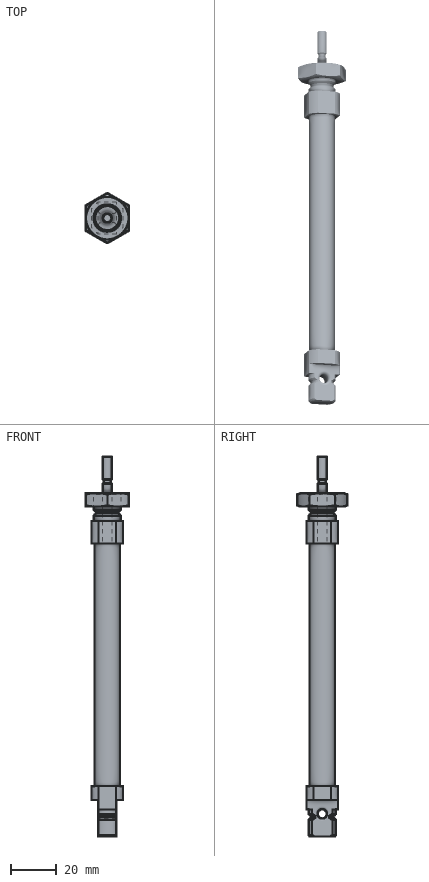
import cadquery as cq
import math

total_height = 166.0
tongue_top = 16.0
tail_top = 12.0
tube_bottom = 22.0
tube_top = 128.0
front_cap_top = 138.0
nose_top = 150.0

tube_diameter = 11.3
cap_width = 14.0
cap_corner_diameter = 16.0
thread_diameter = 12.0
thread_chamfer = 0.7
tongue_thickness = 8.0
pivot_hole_diameter = 4.0
pivot_mouth_radius = 1.2
pivot_height = 10.0

rear_groove_bottom = 7.3
rear_groove_top = 10.0
rear_groove_diameter = 10.0
front_groove_bottom = 140.1
front_groove_top = 143.0
front_groove_diameter = 10.0

nut_across_flats = 19.0
nut_thickness = 6.0
nut_face_diameter = 18.6
nut_chamfer_angle = 20.0

rod_diameter = 4.0
rod_neck_diameter = 3.2
rod_neck_bottom = 154.0
rod_neck_top = 155.7
rod_thread_bottom = 156.2
rod_edge_chamfer = 0.2


def disc(diameter, bottom, top):
    """Upright cylinder on the Z axis between two heights."""
    return cq.Workplane("XY").workplane(offset=bottom).circle(diameter / 2).extrude(top - bottom)


def revolve_profile(points):
    """Turn a closed (radius, height) outline about the Z axis."""
    return cq.Workplane("XZ").polyline(points).close().revolve(360, (0, 0, 0), (0, 1, 0))


def end_cap(bottom, top):
    """Square cap whose corners are rounded by a larger cylinder."""
    height = top - bottom
    square = cq.Workplane("XY").workplane(offset=bottom).rect(cap_width, cap_width).extrude(height)
    return square.intersect(disc(cap_corner_diameter, bottom, top))


def grooved_stud(bottom, top, groove_bottom, groove_top, groove_diameter):
    """Threaded stud with a tapered undercut."""
    radius = thread_diameter / 2
    groove_radius = groove_diameter / 2
    flank = radius - groove_radius
    return revolve_profile([
        (0, bottom),
        (radius, bottom),
        (radius, groove_bottom),
        (groove_radius, groove_bottom + flank),
        (groove_radius, groove_top - flank),
        (radius, groove_top),
        (radius, top),
        (0, top),
    ])


def make_rear_end():
    """Rear cap and stud, flattened into a tongue with a cross hole for the pivot."""
    cap = end_cap(tail_top, tube_bottom)
    stud = grooved_stud(0, tail_top, rear_groove_bottom, rear_groove_top, rear_groove_diameter)
    stud = stud.faces("<Z").chamfer(thread_chamfer)
    tongue = cq.Workplane("XY").box(
        tongue_thickness, cap_width, tongue_top, centered=(True, True, False)
    )
    upper_block = disc(cap_corner_diameter, tongue_top, tube_bottom)
    return cap.union(stud).intersect(tongue.union(upper_block)).cut(make_pivot_cutter())


def make_pivot_cutter():
    """Hole along X whose mouths on both tongue faces flare out in a rounded edge."""
    hole_radius = pivot_hole_diameter / 2
    mouth = pivot_mouth_radius
    rim_radius = hole_radius + mouth
    half = tongue_thickness / 2
    diagonal = mouth * math.sqrt(0.5)
    arc_x = half - mouth + diagonal
    arc_radius = rim_radius - diagonal
    return (
        cq.Workplane("XY")
        .moveTo(-half, 0)
        .lineTo(-half, rim_radius)
        .threePointArc((-arc_x, arc_radius), (mouth - half, hole_radius))
        .lineTo(half - mouth, hole_radius)
        .threePointArc((arc_x, arc_radius), (half, rim_radius))
        .lineTo(half, 0)
        .close()
        .revolve(360, (0, 0, 0), (1, 0, 0))
        .translate((0, 0, pivot_height))
    )


def make_housing():
    """Tube with both end caps, front nose and a bore for the rod."""
    nose = grooved_stud(
        front_cap_top, nose_top, front_groove_bottom, front_groove_top, front_groove_diameter
    )
    nose = nose.faces(">Z").chamfer(thread_chamfer)
    tube = disc(tube_diameter, tube_bottom, tube_top)
    housing = make_rear_end().union(tube).union(end_cap(tube_top, front_cap_top)).union(nose)
    return housing.cut(disc(rod_diameter, tube_top, nose_top))


def make_nut():
    """Hexagon nut with corners on the Y axis and conical corner chamfers."""
    corner_diameter = nut_across_flats / math.cos(math.radians(30))
    bottom = nose_top - nut_thickness
    hexagon = (
        cq.Workplane("XY")
        .workplane(offset=bottom)
        .transformed(rotate=(0, 0, 90))
        .polygon(6, corner_diameter)
        .extrude(nut_thickness)
    )
    face_radius = nut_face_diameter / 2
    corner_radius = corner_diameter / 2
    drop = (corner_radius - face_radius) * math.tan(math.radians(nut_chamfer_angle))
    chamfer_envelope = revolve_profile([
        (0, bottom),
        (face_radius, bottom),
        (corner_radius, bottom + drop),
        (corner_radius, nose_top - drop),
        (face_radius, nose_top),
        (0, nose_top),
    ])
    return hexagon.intersect(chamfer_envelope).cut(disc(thread_diameter, bottom, nose_top))


def make_rod():
    """Piston rod with a necked threaded end."""
    rod_radius = rod_diameter / 2
    neck_radius = rod_neck_diameter / 2
    flank = rod_radius - neck_radius
    return revolve_profile([
        (0, tube_top),
        (rod_radius, tube_top),
        (rod_radius, rod_neck_bottom),
        (neck_radius, rod_neck_bottom + flank),
        (neck_radius, rod_neck_top),
        (rod_radius, rod_thread_bottom),
        (rod_radius, total_height - rod_edge_chamfer),
        (rod_radius - rod_edge_chamfer, total_height),
        (0, total_height),
    ])


housing = make_housing()
nut = make_nut()
rod = make_rod()

result = cq.Compound.makeCompound([housing.val(), nut.val(), rod.val()])